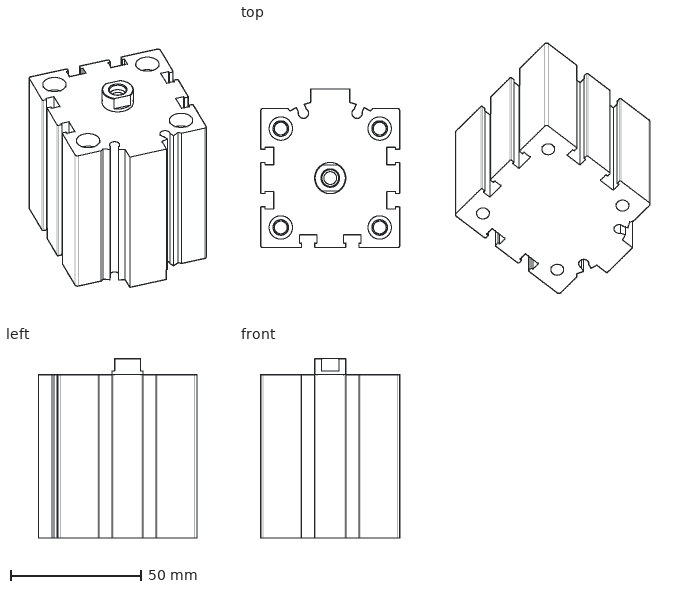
import cadquery as cq
import math

housing_side = 53.5
half_side = housing_side / 2
overall_height = 69.0
rod_projection = 6.2
housing_height = overall_height - rod_projection
corner_radius = 1.0

rib_width = 15.0
rib_projection = 7.5
crest_radius = 30.0
notch_root_x = 15.3
notch_outer_x = 16.4

slot_offset = 8.5
slot_depth = 5.0
slot_inner_width = 6.6
slot_mouth_width = 5.0
slot_lip = 1.7
slot_lip_radius = 0.4

groove_angle = 22.5
groove_centre_radius = 26.9
groove_diameter = 3.85
groove_neck_width = 3.2

mount_offset = 19.0
mount_hole_diameter = 4.9
mount_chamfer_diameter = 6.0
counterbore_diameter = 9.0
counterbore_depth = 6.0

rod_diameter = 12.0
rod_insertion = 13.8
rod_length = rod_insertion + rod_projection
rod_chamfer = 0.2
flat_width = 10.0
flat_height = 4.8

rod_mouth_diameter = 7.1
rod_bore_diameter = 6.4
rod_bore_end_depth = 2.5
rod_drill_diameter = 4.9
rod_drill_depth = 11.05
drill_tip_angle = 120.0


def crest_y(x):
    """Y of the crest arc at a given X."""
    return math.sqrt(crest_radius**2 - x**2)


def make_profile_block():
    """Square block with the crest and the rib on its +Y side, corners rounded."""
    rib_x = rib_width / 2
    crest_middle_x = (rib_x + notch_root_x) / 2
    rib_top = half_side + rib_projection
    block = (
        cq.Workplane("XY")
        .moveTo(-half_side, -half_side)
        .lineTo(half_side, -half_side)
        .lineTo(half_side, half_side)
        .lineTo(notch_outer_x, half_side)
        .lineTo(notch_root_x, crest_y(notch_root_x))
        .threePointArc((crest_middle_x, crest_y(crest_middle_x)), (rib_x, crest_y(rib_x)))
        .lineTo(rib_x, rib_top)
        .lineTo(-rib_x, rib_top)
        .lineTo(-rib_x, crest_y(rib_x))
        .threePointArc((-crest_middle_x, crest_y(crest_middle_x)), (-notch_root_x, crest_y(notch_root_x)))
        .lineTo(-notch_outer_x, half_side)
        .lineTo(-half_side, half_side)
        .close()
        .extrude(housing_height)
    )
    corner_edges = block.edges("|Z").edges("<X or >X")
    return corner_edges.fillet(corner_radius)


def make_side_slots(turn):
    """Pair of T-slots with rounded lips for the -Y side, turned about Z to another side."""
    mouth_half = slot_mouth_width / 2
    inner_half = slot_inner_width / 2
    lip_y = -half_side + slot_lip
    floor_y = -half_side + slot_depth
    round_y = -half_side + slot_lip_radius
    round_x = mouth_half + slot_lip_radius
    arc_middle = slot_lip_radius * (1 - math.cos(math.radians(45)))
    slots = cq.Workplane("XY")
    for x in (-slot_offset, slot_offset):
        slots = slots.union(
            cq.Workplane("XY")
            .center(x, 0)
            .moveTo(-round_x, -half_side)
            .threePointArc((-mouth_half - arc_middle, -half_side + arc_middle), (-mouth_half, round_y))
            .lineTo(-mouth_half, lip_y)
            .lineTo(-inner_half, lip_y)
            .lineTo(-inner_half, floor_y)
            .lineTo(inner_half, floor_y)
            .lineTo(inner_half, lip_y)
            .lineTo(mouth_half, lip_y)
            .lineTo(mouth_half, round_y)
            .threePointArc((mouth_half + arc_middle, -half_side + arc_middle), (round_x, -half_side))
            .close()
            .extrude(housing_height)
        )
    return slots.rotate((0, 0, 0), (0, 0, 1), turn)


def make_sensor_groove(turn):
    """Round channel with a narrower neck opening outward, turned about Z from +Y."""
    neck_length = crest_radius - groove_centre_radius + groove_diameter
    channel = (
        cq.Workplane("XY")
        .center(0, groove_centre_radius)
        .circle(groove_diameter / 2)
        .extrude(housing_height)
    )
    neck = (
        cq.Workplane("XY")
        .center(0, groove_centre_radius + neck_length / 2)
        .rect(groove_neck_width, neck_length)
        .extrude(housing_height)
    )
    return channel.union(neck).rotate((0, 0, 0), (0, 0, 1), turn)


def make_mounting_hole(x, y):
    """Counterbored through hole with a chamfer at the counterbore floor."""
    hole_radius = mount_hole_diameter / 2
    chamfer_radius = mount_chamfer_diameter / 2
    counterbore_radius = counterbore_diameter / 2
    floor_z = housing_height - counterbore_depth
    return (
        cq.Workplane("XZ")
        .moveTo(0, 0)
        .lineTo(hole_radius, 0)
        .lineTo(hole_radius, floor_z - (chamfer_radius - hole_radius))
        .lineTo(chamfer_radius, floor_z)
        .lineTo(counterbore_radius, floor_z)
        .lineTo(counterbore_radius, housing_height)
        .lineTo(0, housing_height)
        .close()
        .revolve(360, (0, 0, 0), (0, 1, 0))
        .translate((x, y, 0))
    )


def make_housing():
    """Extruded cylinder housing with slots, grooves, mounting holes and the rod recess."""
    housing = make_profile_block()
    for turn in (-90, 0, 90):
        housing = housing.cut(make_side_slots(turn))
    for turn in (-groove_angle, groove_angle):
        housing = housing.cut(make_sensor_groove(turn))
    for x in (-mount_offset, mount_offset):
        for y in (-mount_offset, mount_offset):
            housing = housing.cut(make_mounting_hole(x, y))
    rod_recess = (
        cq.Workplane("XY", origin=(0, 0, housing_height - rod_insertion))
        .circle(rod_diameter / 2)
        .extrude(rod_insertion)
    )
    return housing.cut(rod_recess)


def make_rod_hole():
    """Blind hole with a chamfered mouth, a conical step and a drill-point bottom."""
    mouth_radius = rod_mouth_diameter / 2
    bore_radius = rod_bore_diameter / 2
    drill_radius = rod_drill_diameter / 2
    tip_length = drill_radius / math.tan(math.radians(drill_tip_angle / 2))
    step_end_depth = rod_bore_end_depth + bore_radius - drill_radius
    return (
        cq.Workplane("XZ")
        .moveTo(0, overall_height)
        .lineTo(mouth_radius, overall_height)
        .lineTo(bore_radius, overall_height - (mouth_radius - bore_radius))
        .lineTo(bore_radius, overall_height - rod_bore_end_depth)
        .lineTo(drill_radius, overall_height - step_end_depth)
        .lineTo(drill_radius, overall_height - rod_drill_depth)
        .lineTo(0, overall_height - rod_drill_depth - tip_length)
        .close()
        .revolve(360, (0, 0, 0), (0, 1, 0))
    )


def make_rod():
    """Piston rod end with a chamfered rim, two wrench flats and a stepped hole."""
    rod = (
        cq.Workplane("XY", origin=(0, 0, housing_height - rod_insertion))
        .circle(rod_diameter / 2)
        .extrude(rod_length)
        .faces(">Z")
        .edges()
        .chamfer(rod_chamfer)
    )
    flat_cut_depth = rod_diameter - flat_width
    for side in (-1, 1):
        flat_cut = cq.Workplane("XY").box(rod_diameter, flat_cut_depth, flat_height).translate(
            (0, side * (flat_width + flat_cut_depth) / 2, overall_height - flat_height / 2)
        )
        rod = rod.cut(flat_cut)
    return rod.cut(make_rod_hole())


housing = make_housing()
rod = make_rod()

result = cq.Compound.makeCompound([housing.val(), rod.val()])